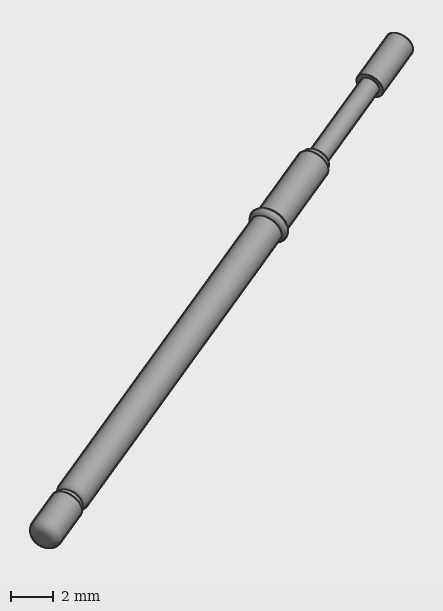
import cadquery as cq
import math


total_length = 35.7
sleeve_radius = 0.82

tip_length = 3.0
tip_radius = 0.7
stem_radius = 0.5
stem_length = 5.32

crimp_depth = 0.15
crimp_length = 0.32
groove_start_y = 2.5

ring_radius = 1.0
ring_length = 0.5
ring_setback = 13.05

tail_face_radius = 0.4
tail_round_length = 0.45

tip_shoulder_y = total_length - tip_length
mouth_y = tip_shoulder_y - stem_length
mouth_start_y = mouth_y - crimp_length
ring_y = total_length - ring_setback
ring_start_y = ring_y - ring_length / 2
ring_end_y = ring_y + ring_length / 2
groove_bottom_y = groove_start_y + crimp_length
groove_end_y = groove_bottom_y + crimp_length

crimp_radius = sleeve_radius - crimp_depth
tail_face_edge = (tail_face_radius, 0)
tail_round_end = (sleeve_radius, tail_round_length)
groove_start = (sleeve_radius, groove_start_y)
groove_bottom = (crimp_radius, groove_bottom_y)
groove_end = (sleeve_radius, groove_end_y)
mouth_start = (sleeve_radius, mouth_start_y)
mouth_end = (crimp_radius, mouth_y)


def arc_middle(level_end, other_end):
    """Middle point of the arc that runs parallel to the axis at level_end and reaches other_end."""
    rise = other_end[0] - level_end[0]
    run = other_end[1] - level_end[1]
    half_angle = math.atan2(abs(rise), abs(run))
    arc_radius = math.hypot(rise, run) / (2 * math.sin(half_angle))
    middle_rise = math.copysign(arc_radius * (1 - math.cos(half_angle)), rise)
    middle_run = math.copysign(arc_radius * math.sin(half_angle), run)
    return (level_end[0] + middle_rise, level_end[1] + middle_run)


profile = (
    cq.Workplane("XY")
    .lineTo(*tail_face_edge)
    .threePointArc(arc_middle(tail_round_end, tail_face_edge), tail_round_end)
    .lineTo(*groove_start)
    .threePointArc(arc_middle(groove_bottom, groove_start), groove_bottom)
    .threePointArc(arc_middle(groove_end, groove_bottom), groove_end)
    .lineTo(sleeve_radius, ring_start_y)
    .threePointArc((ring_radius, ring_y), (sleeve_radius, ring_end_y))
    .lineTo(*mouth_start)
    .threePointArc(arc_middle(mouth_end, mouth_start), mouth_end)
    .lineTo(stem_radius, mouth_y)
    .lineTo(stem_radius, tip_shoulder_y)
    .lineTo(tip_radius, tip_shoulder_y)
    .lineTo(tip_radius, total_length)
    .lineTo(0, total_length)
    .close()
)

result = profile.revolve(360, (0, 0, 0), (0, 1, 0))